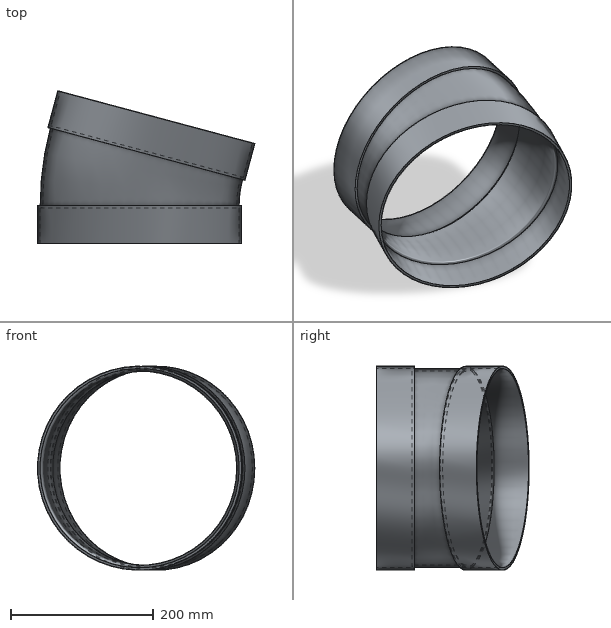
import cadquery as cq
import math

WALL = 3.5
BEND_OUTER_DIAMETER = 280.0
BEND_ANGLE = 15.0
BEND_RADIUS = BEND_OUTER_DIAMETER
SOCKET_DEPTH = 50.0

BEND_OUTER_RADIUS = BEND_OUTER_DIAMETER / 2
BEND_BORE_RADIUS = BEND_OUTER_RADIUS - WALL
SOCKET_BORE_RADIUS = BEND_OUTER_RADIUS
SOCKET_OUTER_RADIUS = SOCKET_BORE_RADIUS + WALL
SOCKET_LENGTH = SOCKET_DEPTH + WALL


def make_socket():
    """Socket along +Y from its mouth at Y = 0, with a rounded stop at the inner end."""
    diagonal = WALL * math.sqrt(0.5)
    stop_middle = (SOCKET_BORE_RADIUS - diagonal, SOCKET_LENGTH - diagonal)
    return (
        cq.Workplane("XY")
        .moveTo(SOCKET_OUTER_RADIUS, 0)
        .lineTo(SOCKET_OUTER_RADIUS, SOCKET_LENGTH)
        .lineTo(BEND_BORE_RADIUS, SOCKET_LENGTH)
        .threePointArc(stop_middle, (SOCKET_BORE_RADIUS, SOCKET_DEPTH))
        .lineTo(SOCKET_BORE_RADIUS, 0)
        .close()
        .revolve(360, (0, 0, 0), (0, 1, 0))
    )


def make_bend():
    """Curved pipe that starts at the first socket and turns from +Y toward +X."""
    return (
        cq.Workplane("XZ", origin=(0, SOCKET_LENGTH, 0))
        .circle(BEND_OUTER_RADIUS)
        .circle(BEND_BORE_RADIUS)
        .revolve(BEND_ANGLE, (BEND_RADIUS, 1, 0), (BEND_RADIUS, 0, 0))
    )


def make_far_socket(near_socket):
    """Copy of the near socket, mirrored in the plane that halves the bend."""
    facing_back = near_socket.mirror("XZ", (0, SOCKET_LENGTH, 0))
    bend_centre = (BEND_RADIUS, SOCKET_LENGTH, 0)
    axis_end = (BEND_RADIUS, SOCKET_LENGTH, 1)
    return facing_back.rotate(bend_centre, axis_end, -BEND_ANGLE)


near_socket = make_socket()
result = near_socket.union(make_bend()).union(make_far_socket(near_socket))